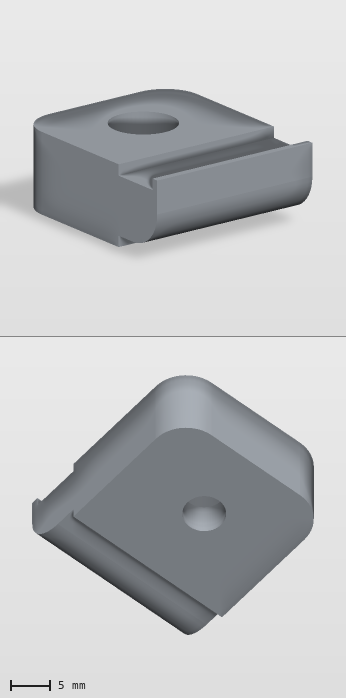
import cadquery as cq

length = 29.0
width = 24.5
height = 11.0

corner_radius = 5.0
block_length = 21.0
step_depth = 1.5
lip_thickness = 1.0
tongue_radius = 5.0

hole_x = 10.0
hole_diameter = 5.5
counterbore_diameter = 9.0
counterbore_depth = 6.0


def make_body():
    """Side profile of block, tongue and lip, extruded across the width."""
    profile = (
        cq.Workplane("XZ")
        .moveTo(0, 0)
        .lineTo(block_length, 0)
        .lineTo(block_length, step_depth)
        .lineTo(length - tongue_radius, step_depth)
        .radiusArc((length, step_depth + tongue_radius), -tongue_radius)
        .lineTo(length, height)
        .lineTo(length - lip_thickness, height)
        .lineTo(length - lip_thickness, height - step_depth)
        .lineTo(block_length, height - step_depth)
        .lineTo(block_length, height)
        .lineTo(0, height)
        .close()
    )
    return profile.extrude(width / 2, both=True)


def round_end_corners(body):
    """Round the two upright edges at the plain end of the block."""
    return body.edges("|Z and <X").fillet(corner_radius)


def cut_hole(body):
    """Cut the through hole and its counterbore from the top face."""
    top = cq.Workplane("XY", origin=(hole_x, 0, height))
    return body.cut(
        top.circle(hole_diameter / 2).extrude(-height)
    ).cut(
        top.circle(counterbore_diameter / 2).extrude(-counterbore_depth)
    )


result = cut_hole(round_end_corners(make_body()))